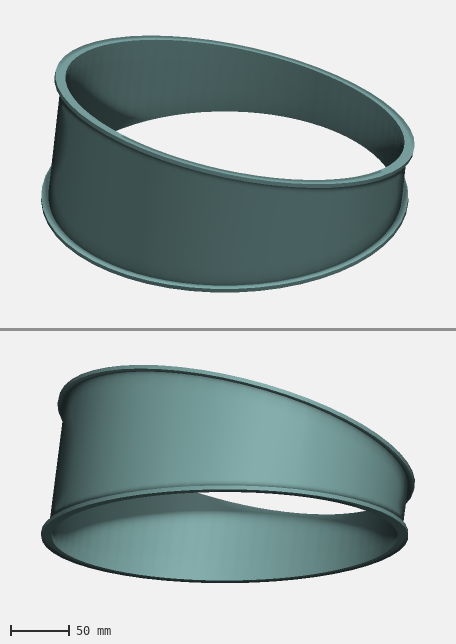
import cadquery as cq
import math

FLANGE_DIAMETER = 316.0
WALL_OUTER_DIAMETER = 304.3
WALL_THICKNESS = 3.2
FLANGE_THICKNESS = 3.5
MITRE_ANGLE = 15.0
OVERALL_HEIGHT = 126.0

lean_angle = MITRE_ANGLE / 2
lean = math.radians(lean_angle)
mitre = math.radians(MITRE_ANGLE)
flange_radius = FLANGE_DIAMETER / 2
top_center_z = OVERALL_HEIGHT - flange_radius * math.sin(mitre)
top_center_y = top_center_z * math.tan(lean)

bottom_plane = cq.Plane(origin=(0, 0, 0), xDir=(1, 0, 0), normal=(0, 0, 1))
top_plane = cq.Plane(
    origin=(0, top_center_y, top_center_z),
    xDir=(1, 0, 0),
    normal=(0, math.sin(mitre), math.cos(mitre)),
)
tube_axis_plane = cq.Plane(
    origin=(0, 0, 0), xDir=(1, 0, 0), normal=(0, math.sin(lean), math.cos(lean))
)


def leaning_tube(end_diameter):
    """Solid elliptical cylinder that shows a true circle on both flange planes."""
    radius = end_diameter / 2
    reach = OVERALL_HEIGHT
    return (
        cq.Workplane(tube_axis_plane)
        .workplane(offset=-reach)
        .ellipse(radius, radius * math.cos(lean))
        .extrude(3 * reach)
    )


def trim_beyond(body, plane, direction):
    """Remove everything past a plane, on the side given by direction (1 or -1)."""
    block_size = 4 * FLANGE_DIAMETER
    block = cq.Workplane(plane).rect(block_size, block_size).extrude(direction * block_size)
    return body.cut(block)


def flange(plane, direction):
    """Flat round flange whose outer face lies on the plane, thickened toward direction."""
    return cq.Workplane(plane).circle(flange_radius).extrude(direction * FLANGE_THICKNESS)


tube = leaning_tube(WALL_OUTER_DIAMETER)
tube = trim_beyond(tube, bottom_plane, -1)
tube = trim_beyond(tube, top_plane, 1)

bore = leaning_tube(WALL_OUTER_DIAMETER - 2 * WALL_THICKNESS)
result = tube.union(flange(bottom_plane, 1)).union(flange(top_plane, -1)).cut(bore)